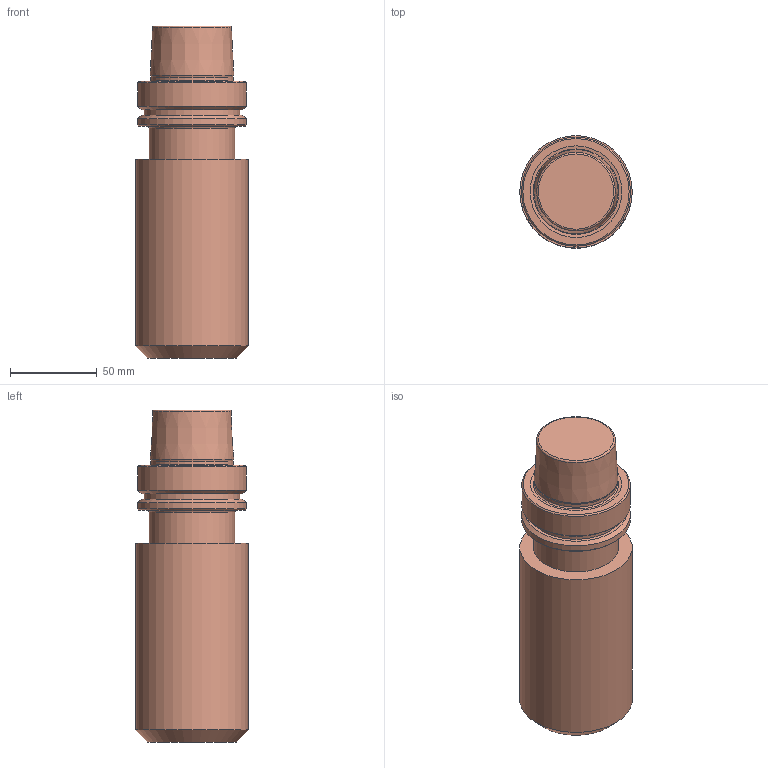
import cadquery as cq

total_height = 191.9
shank_length = 32.0
flange_length = 26.0
body_height = 115.0
flange_top = total_height - shank_length
flange_bottom = flange_top - flange_length

body_radius = 32.5
body_chamfer = 7.0
neck_radius = 24.6
neck_fillet = 1.2

flange_radius = 31.5
groove_root_radius = 27.5
groove_center = flange_top - 18.0
groove_root_width = 3.4
groove_side_radius = 29.4
groove_side_height = 1.8
flange_chamfer = 0.8

recess_radius = 26.5
recess_depth = 0.3

taper_ratio = 1 / 9.98
gauge_radius = 24.0
gauge_height = flange_top + 6.3
taper_bottom = flange_top + 3.4
undercut_top = flange_top + 2.5
undercut_radius = 23.9
root_fillet = 0.8
tip_fillet = 1.0


def taper_radius(height):
    """Radius of the conical shank at a given height."""
    return gauge_radius - (height - gauge_height) * taper_ratio / 2


def revolve_about_z(outline):
    """Full revolution of a closed half outline in the XZ plane."""
    return outline.revolve(360, (0, 0, 0), (0, 1, 0))


def body_and_neck():
    """Chamfered body with the neck, flared by a fillet into the flange."""
    outline = (
        cq.Workplane("XZ")
        .moveTo(0, 0)
        .lineTo(body_radius - body_chamfer, 0)
        .lineTo(body_radius, body_chamfer)
        .lineTo(body_radius, body_height)
        .lineTo(neck_radius, body_height)
        .lineTo(neck_radius, flange_bottom - neck_fillet)
        .radiusArc((neck_radius + neck_fillet, flange_bottom), neck_fillet)
        .lineTo(0, flange_bottom)
        .close()
    )
    return revolve_about_z(outline)


def flange():
    """Two collars separated by the gripper groove, with the recessed top face."""
    root_bottom = groove_center - groove_root_width / 2
    root_top = groove_center + groove_root_width / 2
    outline = (
        cq.Workplane("XZ")
        .moveTo(0, flange_bottom)
        .lineTo(flange_radius - flange_chamfer, flange_bottom)
        .lineTo(flange_radius, flange_bottom + flange_chamfer)
        .lineTo(flange_radius, root_bottom - groove_side_height)
        .lineTo(groove_side_radius, root_bottom)
        .lineTo(groove_root_radius, root_bottom)
        .lineTo(groove_root_radius, root_top)
        .lineTo(groove_side_radius, root_top)
        .lineTo(flange_radius, root_top + groove_side_height)
        .lineTo(flange_radius, flange_top - flange_chamfer)
        .lineTo(flange_radius - flange_chamfer, flange_top)
        .lineTo(recess_radius, flange_top)
        .lineTo(undercut_radius + root_fillet, flange_top - recess_depth)
        .lineTo(0, flange_top - recess_depth)
        .close()
    )
    return revolve_about_z(outline)


def shank():
    """Solid tapered shank with a filleted, undercut root and a rounded tip."""
    tip_fillet_bottom = total_height - tip_fillet
    outline = (
        cq.Workplane("XZ")
        .moveTo(0, flange_top - recess_depth)
        .lineTo(undercut_radius + root_fillet, flange_top - recess_depth)
        .radiusArc((undercut_radius, flange_top - recess_depth + root_fillet), root_fillet)
        .lineTo(undercut_radius, undercut_top)
        .lineTo(taper_radius(taper_bottom), taper_bottom)
        .lineTo(taper_radius(tip_fillet_bottom), tip_fillet_bottom)
        .tangentArcPoint((taper_radius(tip_fillet_bottom) - tip_fillet, total_height), relative=False)
        .lineTo(0, total_height)
        .close()
    )
    return revolve_about_z(outline)


result = body_and_neck().union(flange()).union(shank())